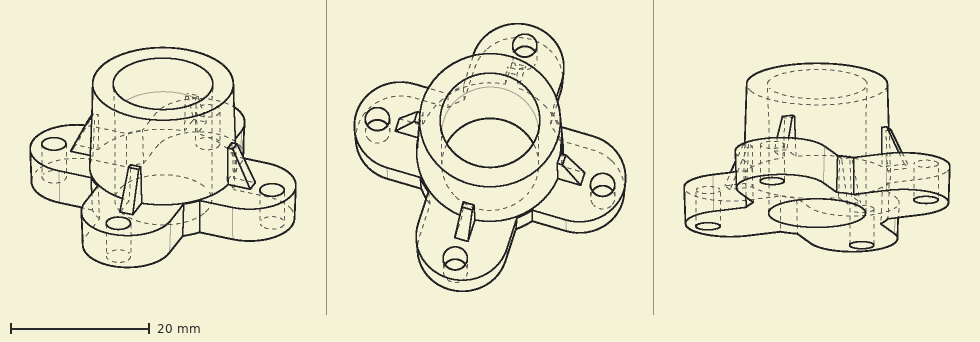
import math

import cadquery as cq

base_height = 5.5
base_draft = 2.0
lobe_reach = 13.5
lobe_radius = 6.5
hub_radius = 10.6

lobe_count = 4
hole_diameter = 3.5
hole_reach = 17.0

boss_height = 14.0
boss_radius = 10.6
boss_draft = 1.75

bore_radius = 7.0
flare_depth = 5.5
flare_draft = 2.0

rib_height = 6.0
rib_width = 2.0
rib_reach = 14.0
rib_slope = 25.0
rib_draft = 2.0
rib_root = 9.0

total_height = base_height + boss_height


def drift(height, angle):
    """Sideways shift of a face leaning by angle degrees over a height."""
    return height * math.tan(math.radians(angle))


def make_base():
    lobe_width = 2 * lobe_radius
    slot_length = 2 * (lobe_reach + lobe_radius)
    base = cq.Workplane("XY").circle(hub_radius).extrude(base_height, taper=-base_draft)
    for angle in (0, 90):
        lobe_pair = (
            cq.Workplane("XY")
            .slot2D(slot_length, lobe_width, angle)
            .extrude(base_height, taper=-base_draft)
        )
        base = base.union(lobe_pair)
    return base


def make_boss():
    return (
        cq.Workplane("XY", origin=(0, 0, base_height))
        .circle(boss_radius)
        .extrude(boss_height, taper=boss_draft)
    )


def make_rib():
    """Rib along +X: a rectangular foot lofted to a shorter, narrower top."""
    top_width = rib_width - 2 * drift(rib_height, rib_draft)
    foot_length = rib_reach - rib_root
    top_length = foot_length - drift(rib_height, rib_slope)
    return (
        cq.Workplane("XY", origin=(rib_root, 0, base_height))
        .center(foot_length / 2, 0)
        .rect(foot_length, rib_width)
        .workplane(offset=rib_height)
        .center((top_length - foot_length) / 2, 0)
        .rect(top_length, top_width)
        .loft(ruled=True)
    )


def make_bore():
    mouth_radius = bore_radius + drift(flare_depth, flare_draft)
    profile = [
        (0, 0),
        (bore_radius, 0),
        (bore_radius, total_height - flare_depth),
        (mouth_radius, total_height),
        (0, total_height),
    ]
    return cq.Workplane("XZ").polyline(profile).close().revolve(360, (0, 0), (0, 1))


def make_holes():
    return (
        cq.Workplane("XY")
        .polarArray(hole_reach, 0, 360, lobe_count)
        .circle(hole_diameter / 2)
        .extrude(base_height)
    )


body = make_base().union(make_boss())
for index in range(lobe_count):
    body = body.union(make_rib().rotate((0, 0, 0), (0, 0, 1), index * 360 / lobe_count))

result = body.cut(make_bore()).cut(make_holes())